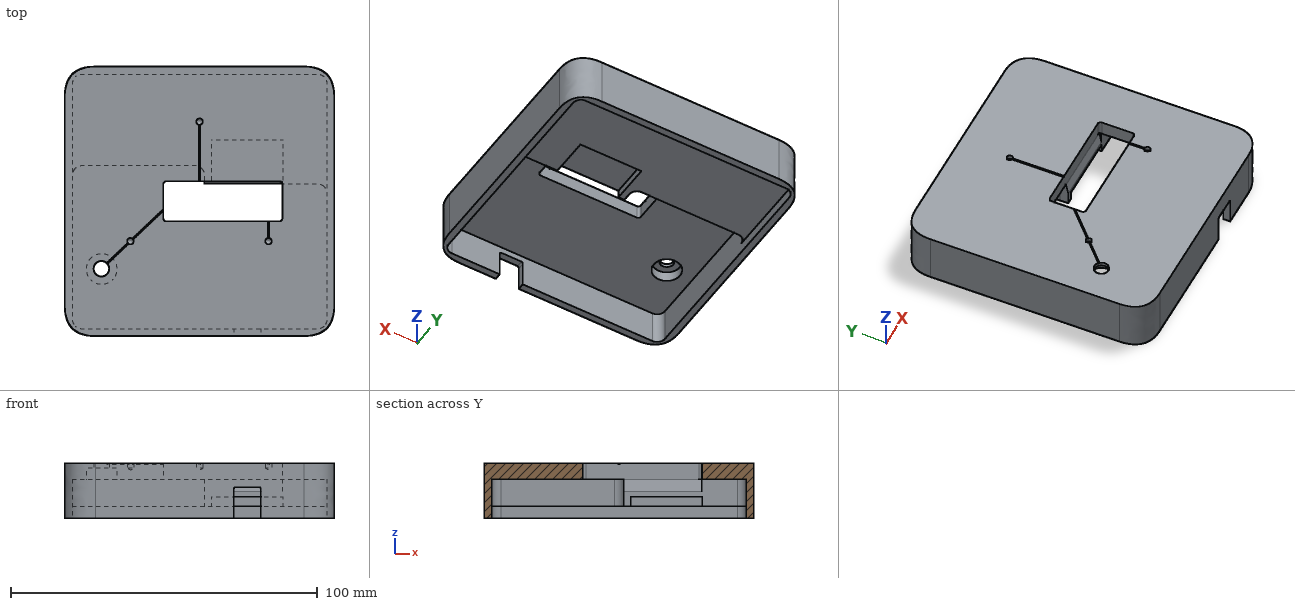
import cadquery as cq
import math

SIDE = 88.0
HEIGHT = 18.0
CORNER_LENGTH = 10.0
CORNER_FULLNESS = 2 / 3
WALL = 2.5
INNER_HALF = SIDE / 2 - WALL
OVERCUT = 1.0

CAVITY_HEIGHT = 12.7
CAVITY_CORNER_RADIUS = 3.0
BLOCK_LEFT = 1.5
BLOCK_FRONT = 5.7
BAY_BACK = 11.7

TUNNEL_HEIGHT = 7.0
TUNNEL_LEFT = 3.8
TUNNEL_RIGHT = 27.2
TUNNEL_BACK = 20.0

BASE_RECESS_HEIGHT = 4.0

WINDOW_LEFT = -11.8
WINDOW_RIGHT = 27.0
WINDOW_WIDTH = 13.0
WINDOW_CORNER_RADIUS = 1.0
WINDOW_BACK = WINDOW_WIDTH / 2
SLOPE_BOTTOM = 8.8

NOTCH_LEFT = 11.2
NOTCH_WIDTH = 8.8
NOTCH_HEIGHT = 10.2
NOTCH_CORNER_RADIUS = 0.6

HOLE_CENTRE = (-32.0, -22.0)
HOLE_DIAMETER = 5.0
COUNTERBORE_DIAMETER = 10.0
COUNTERBORE_ROOF = 1.4

DIMPLE_CIRCLE_RADIUS = 26.0
DIMPLE_ANGLES = (90, 210, 330)
DIMPLE_DIAMETER = 2.1
DIMPLE_DEPTH = 1.5
DIMPLE_TIP_ANGLE = 118.0
GROOVE_WIDTH = 0.35
GROOVE_DEPTH = 0.3


def box_between(x_range, y_range, z_range):
    """Box spanning the given (low, high) ranges."""
    (x0, x1), (y0, y1), (z0, z1) = x_range, y_range, z_range
    return cq.Workplane("XY").box(x1 - x0, y1 - y0, z1 - z0, centered=False).translate((x0, y0, z0))


def quarter_turn(point, count):
    """Point turned about the origin by a number of counter-clockwise quarter turns."""
    x, y = point
    for _ in range(count):
        x, y = -y, x
    return x, y


def housing():
    """Square plate whose corners are smooth curves, slightly fuller than circular arcs."""
    half = SIDE / 2
    straight_half = half - CORNER_LENGTH
    handle_half = straight_half + CORNER_FULLNESS * CORNER_LENGTH
    outline = cq.Workplane("XY").moveTo(straight_half, -half)
    corner = (
        (straight_half, -half),
        (handle_half, -half),
        (half, -handle_half),
        (half, -straight_half),
    )
    for quarter in range(4):
        outline = outline.bezier([quarter_turn(point, quarter) for point in corner])
        if quarter < 3:
            outline = outline.lineTo(*quarter_turn((half, straight_half), quarter))
    return outline.close().extrude(HEIGHT)


def main_cavity():
    """L-shaped cavity with rounded wall corners."""
    z_range = (-OVERCUT, CAVITY_HEIGHT)
    front = box_between((-INNER_HALF, INNER_HALF), (-INNER_HALF, BLOCK_FRONT), z_range)
    bay = box_between((-INNER_HALF, BLOCK_LEFT), (-INNER_HALF, BAY_BACK), z_range)
    return (
        front.edges("|Z").fillet(CAVITY_CORNER_RADIUS)
        .union(bay.edges("|Z").fillet(CAVITY_CORNER_RADIUS))
    )


def tunnel():
    y_range = (BLOCK_FRONT - OVERCUT, TUNNEL_BACK)
    return box_between((TUNNEL_LEFT, TUNNEL_RIGHT), y_range, (-OVERCUT, TUNNEL_HEIGHT))


def base_recess():
    inner_side = 2 * INNER_HALF
    return (
        cq.Workplane("XY").rect(inner_side, inner_side).extrude(BASE_RECESS_HEIGHT)
        .edges("|Z").fillet(CAVITY_CORNER_RADIUS)
    )


def window():
    x_range = (WINDOW_LEFT, WINDOW_RIGHT)
    y_range = (-WINDOW_BACK, WINDOW_BACK)
    opening = box_between(x_range, y_range, (CAVITY_HEIGHT, HEIGHT + OVERCUT))
    opening = opening.edges("|Z").fillet(WINDOW_CORNER_RADIUS)
    slope = (
        cq.Workplane("YZ", origin=(BLOCK_LEFT, 0, 0))
        .moveTo(BLOCK_FRONT, SLOPE_BOTTOM)
        .lineTo(WINDOW_BACK, CAVITY_HEIGHT)
        .lineTo(BLOCK_FRONT, CAVITY_HEIGHT)
        .close()
        .extrude(WINDOW_RIGHT - BLOCK_LEFT)
    )
    return opening.union(slope)


def notch():
    x_range = (NOTCH_LEFT, NOTCH_LEFT + NOTCH_WIDTH)
    y_range = (-SIDE / 2 - OVERCUT, -INNER_HALF + OVERCUT)
    slot = box_between(x_range, y_range, (-OVERCUT, NOTCH_HEIGHT))
    return slot.edges("|Y and >Z").fillet(NOTCH_CORNER_RADIUS)


def counterbored_hole():
    hole = cq.Workplane("XY").center(*HOLE_CENTRE).circle(HOLE_DIAMETER / 2).extrude(HEIGHT)
    counterbore = (
        cq.Workplane("XY").center(*HOLE_CENTRE).circle(COUNTERBORE_DIAMETER / 2)
        .extrude(HEIGHT - COUNTERBORE_ROOF)
    )
    return hole.union(counterbore)


def dimple_centre(angle):
    a = math.radians(angle)
    return DIMPLE_CIRCLE_RADIUS * math.cos(a), DIMPLE_CIRCLE_RADIUS * math.sin(a)


def dimple(centre):
    radius = DIMPLE_DIAMETER / 2
    tip = radius / math.tan(math.radians(DIMPLE_TIP_ANGLE / 2))
    return (
        cq.Workplane("XZ")
        .polyline([(0, 0), (radius, 0), (radius, -DIMPLE_DEPTH), (0, -DIMPLE_DEPTH - tip)])
        .close()
        .revolve(360, (0, 0, 0), (0, 1, 0))
        .translate((*centre, HEIGHT))
    )


def groove(start, end):
    """Straight engraved line in the top face between two points."""
    dx = end[0] - start[0]
    dy = end[1] - start[1]
    return (
        cq.Workplane("XY")
        .box(math.hypot(dx, dy), GROOVE_WIDTH, GROOVE_DEPTH, centered=(False, True, False))
        .rotate((0, 0, 0), (0, 0, 1), math.degrees(math.atan2(dy, dx)))
        .translate((*start, HEIGHT - GROOVE_DEPTH))
    )


result = housing()
for cutter in (main_cavity(), tunnel(), base_recess(), window(), notch(), counterbored_hole()):
    result = result.cut(cutter)

top_dimple, left_dimple, right_dimple = [dimple_centre(angle) for angle in DIMPLE_ANGLES]
for centre in (top_dimple, left_dimple, right_dimple):
    result = result.cut(dimple(centre))

groove_slope = (left_dimple[1] - HOLE_CENTRE[1]) / (left_dimple[0] - HOLE_CENTRE[0])
window_entry_y = left_dimple[1] + groove_slope * (WINDOW_LEFT - left_dimple[0])
grooves = (
    (top_dimple, (top_dimple[0], WINDOW_BACK)),
    (right_dimple, (right_dimple[0], -WINDOW_BACK)),
    (HOLE_CENTRE, (WINDOW_LEFT, window_entry_y)),
)
for start, end in grooves:
    result = result.cut(groove(start, end))